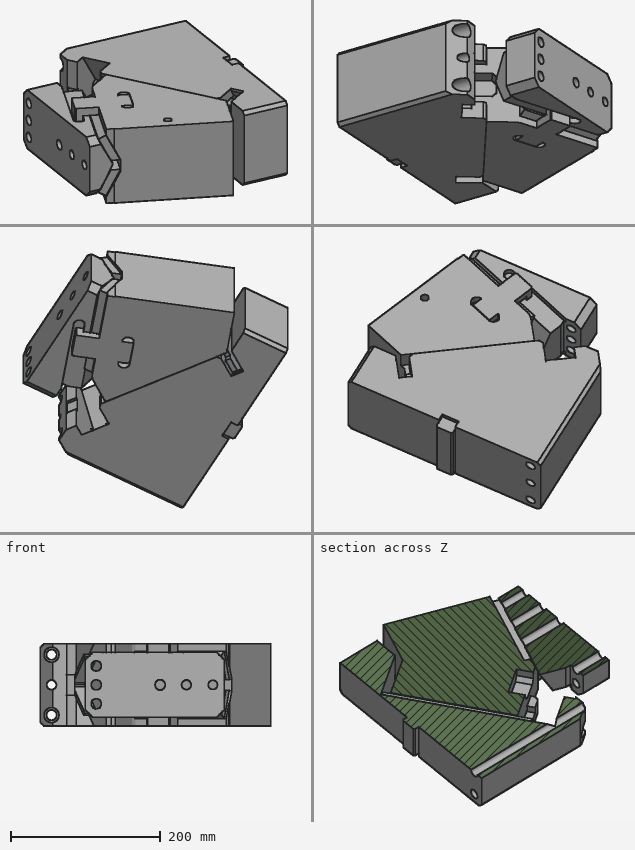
import cadquery as cq
import math


REACH = 461.7

total_height = 110.0
half_height = total_height / 2
running_gap = 0.3
overlap = 3.0

holder_length = 290.3
holder_chamfer = 5.0
left_side_depth = 173.3
right_side_depth = 65.5
lug_front = 197.0
lug_left = 16.5
guide_angle = 35.0
nose_tip = (94.5, -176.0)
nose_wall = -4.5
nose_chamfer = 4.5
lug_wall = -45.0
lug_end = -60.0
lug_land = 17.0
left_notch_floor = 33.2
guide_end = 175.5
right_notch_wall = 193.3
right_notch_floor = 36.0
guide_tilt = 38.0
wear_plate_half = 40.5
wear_plate_thickness = 4.0
wear_plate_gap = 5.5
wear_plate_overhang = 8.5
neck_half = 30.5
lip_depth = 19.7
lug_slot_width = 27.7
lug_slot_depth = 3.0

bolt_x = 15.0
bolt_z = 40.3
bolt_diameter = 13.5
bolt_head_diameter = 20.0
bolt_head_seat = 154.0
dowel_diameter = 12.5

key_left = 129.0
key_width = 24.5
key_rise = 8.0
key_depth = 10.2
key_half = 49.5
key_chamfer = 2.2

base_angle = 20.0
slider_right = 307.8
slider_bottom = -252.7
slider_top = 171.5
slider_end = 6.5
head_end = 182.0
tab_left = -102.5
tab_right = -69.5
tab_chamfer = 1.5
tab_reach = 32.0
relief_center = 38.8
relief_radius = 8.0
hook_root_gap = 0.5
roof_tilt = 27.5
slider_groove_half = 45.0
slider_plate_start = -130.2
slider_plate_end = -3.7
slider_plate_thickness = 11.7
slider_plate_inner = 7.0
groove_flat_top = 19.5
slider_corner_cut = 3.0
slider_step_depth = 1.0
slider_step_top = 10.5
lifting_hole = (-17.5, 85.5)
lifting_hole_diameter = 10.5
lifting_hole_depth = 18.5
drill_point_angle = 118.0
pocket_half = 17.2
pocket_low = -14.2
pocket_round = 12.3
pocket_corner = 6.2
pocket_depth = 23.0

base_half = 43.5
base_left = 60.0
base_right = 246.0
base_bottom = -276.0
base_step = -230.5
wedge_left = 86.2
wedge_end = -163.5
ridge = 10.0
base_chamfer = 10.2
groove_floor = 35.7
groove_bottom = -36.0
groove_top = -21.2
groove_end = -52.3
hook_lip_start = -86.2
base_column_x = 74.8
base_column_pitch = 25.2
base_column_diameter = 13.5
base_row = [(160.0, 13.5), (195.0, 12.5), (230.5, 12.3)]

guide_sin, guide_cos = math.sin(math.radians(guide_angle)), math.cos(math.radians(guide_angle))
roof_sin, roof_cos = math.sin(math.radians(base_angle)), math.cos(math.radians(base_angle))
guide_slope = math.tan(math.radians(guide_tilt))
roof_slope = math.tan(math.radians(roof_tilt))

slider_corner = (slider_right - slider_top * roof_sin, slider_bottom)


def guide_point(u, n):
    """X and Y of a point in the guide frame."""
    return (nose_tip[0] + u * guide_cos - n * guide_sin, nose_tip[1] + u * guide_sin + n * guide_cos)


def roof_point(s, m):
    """X and Y of a point in the roof frame."""
    return (slider_corner[0] + s * roof_cos + m * roof_sin, slider_corner[1] - s * roof_sin + m * roof_cos)


def plate(points, bottom, top):
    """Prism over an outline in X and Y."""
    return cq.Workplane("XY").workplane(offset=bottom).polyline(points).close().extrude(top - bottom)


def guide_prism(profile, start, end):
    """Prism along the guide, over a profile of (n, z) points."""
    plane = cq.Plane(
        origin=(*guide_point(start, 0), 0), xDir=(-guide_sin, guide_cos, 0), normal=(guide_cos, guide_sin, 0)
    )
    return cq.Workplane(plane).polyline(profile).close().extrude(end - start)


def roof_prism(profile, start, end):
    """Prism along the roof, over a profile of (m, z) points that is symmetric or mirrored in Z."""
    plane = cq.Plane(
        origin=(*roof_point(start, 0), 0), xDir=(roof_sin, roof_cos, 0), normal=(roof_cos, -roof_sin, 0)
    )
    return cq.Workplane(plane).polyline(profile).close().extrude(end - start)


def mirrored(half_profile):
    """Whole profile from its upper half, listed from one end to the other on Z = 0."""
    return half_profile + [(a, -z) for a, z in reversed(half_profile) if z != 0]


def box_at(x, y, z):
    """Box given by its limits along each axis."""
    size = [b - a for a, b in (x, y, z)]
    return cq.Workplane("XY").box(*size, centered=False).translate((x[0], y[0], z[0]))


def hole_along_y(x, z, diameter, start, end):
    """Cylinder along Y."""
    return cq.Workplane("XZ").workplane(offset=-start).center(x, z).circle(diameter / 2).extrude(start - end)


def v_floor(z):
    """n of the V-shaped notch floor at height z."""
    return left_notch_floor + (half_height - z) * guide_slope


def plate_face(z):
    """n of the wear plates' sliding faces at height z."""
    return v_floor(z) - wear_plate_thickness / math.cos(math.radians(guide_tilt))


def plated_floor():
    """Upper half of the V floor, with its wear plate, from the plate's outer edge to the middle."""
    plate_edge = wear_plate_half - wear_plate_thickness * math.sin(math.radians(guide_tilt))
    half_gap = wear_plate_gap / 2
    return [
        (v_floor(wear_plate_half), wear_plate_half),
        (plate_face(plate_edge), plate_edge),
        (plate_face(half_gap), half_gap),
        (v_floor(half_gap), half_gap),
        (v_floor(0), 0),
    ]


def holder_blank():
    outline = [
        (0, 0),
        (holder_length, 0),
        (holder_length, -right_side_depth),
        guide_point(right_notch_wall, 0),
        guide_point(right_notch_wall, right_notch_floor),
        guide_point(guide_end, right_notch_floor),
        guide_point(guide_end, nose_chamfer),
        guide_point(guide_end - nose_chamfer, 0),
        guide_point(0, 0),
        guide_point(nose_wall, nose_chamfer),
        guide_point(nose_wall, left_notch_floor),
        guide_point(lug_wall, left_notch_floor),
        guide_point(lug_wall, lug_land),
        guide_point(lug_end, lug_land),
        (lug_left, -lug_front),
        (0, -left_side_depth),
    ]
    blank = plate(outline, -half_height, half_height)
    return blank.edges("|Y and (<X or >X)").chamfer(holder_chamfer)


def notch_floor_cut():
    """V-shaped floor of the notches and the wear plates that stand on it."""
    bare = mirrored([(0, neck_half), (0, half_height), (v_floor(half_height), half_height), (v_floor(0), 0)])
    plate_start = nose_wall - wear_plate_overhang
    left = guide_prism(bare, lug_wall, plate_start)
    plated = mirrored([
        (0, half_height),
        (v_floor(half_height), half_height),
        *plated_floor(),
    ])
    right = guide_prism(plated, guide_end, right_notch_wall)
    return left.union(guide_prism(plated, plate_start, nose_wall)).union(right)


def guide_cut():
    """T-shaped guide with a V-shaped floor."""
    profile = mirrored([
        (-overlap, neck_half),
        (lip_depth, neck_half),
        (lip_depth, wear_plate_half),
        *plated_floor(),
    ])
    return guide_prism(profile, nose_wall, guide_end)


def make_holder():
    holder = holder_blank().cut(notch_floor_cut()).cut(guide_cut())
    half_slot = lug_slot_width / 2
    slot_floor = lug_land + lug_slot_depth
    slot = [(0, -half_slot), (0, half_slot), (slot_floor, half_slot), (slot_floor, -half_slot)]
    holder = holder.cut(guide_prism(slot, lug_end, lug_wall))
    for z in (-bolt_z, bolt_z):
        holder = holder.cut(hole_along_y(bolt_x, z, bolt_diameter, 0, -REACH))
        holder = holder.cut(hole_along_y(bolt_x, z, bolt_head_diameter, -bolt_head_seat, -REACH))
    holder = holder.cut(hole_along_y(bolt_x, 0, dowel_diameter, 0, -REACH))
    key_x = (key_left, key_left + key_width)
    holder = holder.cut(box_at(key_x, (-key_depth, 0), (-half_height, half_height)))
    key = box_at(key_x, (-key_depth, key_rise), (-key_half, key_half))
    return holder.union(key.faces(">Y").edges("|Z").chamfer(key_chamfer))


def contact_end():
    """u where the slider's contact face meets its top edge."""
    x, y = guide_point(0, -running_gap)
    height = (x - slider_corner[0]) * roof_sin + (y - slider_corner[1]) * roof_cos
    return (slider_top - height) / math.sin(math.radians(guide_angle + base_angle))


def left_end_foot():
    """n where the slider's left end meets its underside."""
    x, y = guide_point(slider_end, 0)
    height = (x - slider_corner[0]) * roof_sin + (y - slider_corner[1]) * roof_cos
    return -height / math.cos(math.radians(guide_angle + base_angle))


def slider_blank():
    foot_x, foot_y = guide_point(slider_end, left_end_foot())
    outline = [
        guide_point(slider_end, -running_gap),
        guide_point(contact_end(), -running_gap),
        roof_point(0, slider_top),
        roof_point(0, slider_step_top),
        roof_point(-slider_step_depth, slider_step_top),
        roof_point(-slider_step_depth, 0),
        (foot_x + slider_corner_cut * roof_cos, foot_y - slider_corner_cut * roof_sin),
        guide_point(slider_end, left_end_foot() + slider_corner_cut),
    ]
    return plate(outline, -half_height, half_height)


def slider_head():
    """T-shaped tongue that runs in the holder's guide."""
    neck = neck_half - running_gap
    head = wear_plate_half - wear_plate_thickness * math.sin(math.radians(guide_tilt)) - running_gap
    profile = mirrored([
        (-overlap, neck),
        (lip_depth + running_gap, neck),
        (lip_depth + running_gap, head),
        (plate_face(head) - running_gap, head),
        (plate_face(0) - running_gap, 0),
    ])
    toe_height = (contact_end() - head_end) * math.tan(math.radians(guide_angle + base_angle))
    toe = [
        guide_point(head_end, -running_gap),
        guide_point(contact_end(), -running_gap),
        guide_point(head_end, toe_height - running_gap),
    ]
    return guide_prism(profile, slider_end, head_end).union(plate(toe, -neck, neck))


def groove_m(z):
    """m of the flanks of the slider's groove at height z."""
    return (slider_groove_half - z) * roof_slope


def underside_groove():
    """Flat-topped V groove for the wear plates, and a narrow V that clears the ridge to its left."""
    flat_half = slider_groove_half - groove_flat_top / roof_slope
    wide = mirrored([(0, slider_groove_half), (groove_flat_top, flat_half)])
    clear_ridge = ridge + running_gap
    narrow = [(0, clear_ridge / roof_slope), (clear_ridge, 0), (0, -clear_ridge / roof_slope)]
    return (
        roof_prism(wide, slider_plate_start, overlap)
        .union(roof_prism(narrow, wedge_end, slider_plate_start))
    )


def underside_plate(side):
    """Wear plate on one flank of the groove."""
    tilt = math.radians(roof_tilt)
    drop = slider_plate_thickness * math.cos(tilt)
    low_z = slider_groove_half - slider_plate_thickness * math.sin(tilt)
    profile = [
        (0, slider_groove_half),
        (-drop, low_z),
        (-drop + (low_z - slider_plate_inner) * roof_slope, slider_plate_inner),
        (groove_m(slider_plate_inner), slider_plate_inner),
    ]
    return roof_prism([(m, side * z) for m, z in profile], slider_plate_start, slider_plate_end)


def roof_block(s, m, z):
    """Block given by its limits in the roof frame."""
    corners = [roof_point(a, b) for a, b in ((s[0], m[0]), (s[1], m[0]), (s[1], m[1]), (s[0], m[1]))]
    return plate(corners, min(z), max(z))


def tab_piece(m_high, z):
    """Part of the hook tab from its chamfered free end up to m_high."""
    outline = [
        roof_point(tab_left, m_high),
        roof_point(tab_left, -tab_reach + tab_chamfer),
        roof_point(tab_left + tab_chamfer, -tab_reach),
        roof_point(tab_right - tab_chamfer, -tab_reach),
        roof_point(tab_right, -tab_reach + tab_chamfer),
        roof_point(tab_right, m_high),
    ]
    return plate(outline, min(z), max(z))


def hook(side):
    """Hook tab that reaches over the base, with a lip in the base's groove."""
    tab = tab_piece(overlap, (side * base_half, side * half_height))
    return tab.union(tab_piece(groove_top - running_gap, (side * groove_floor, side * base_half)))


def hook_relief(side):
    """Rounded pocket around the hook's root, which fills it between the two round ends."""
    levels = (side * base_half, side * half_height)
    low, high = relief_center - relief_radius, relief_center + relief_radius
    relief = roof_block((tab_left, tab_right), (low, high), levels)
    for s in (tab_left, tab_right):
        end = cq.Workplane("XY").workplane(offset=min(levels)).center(*roof_point(s, relief_center))
        relief = relief.union(end.circle(relief_radius).extrude(max(levels) - min(levels)))
    return relief.cut(roof_block((tab_left, tab_right), (0, high - hook_root_gap), levels))


def spring_pocket():
    """Pocket in the left end, with one rounded side and two cut corners."""
    profile = mirrored([
        (pocket_round, pocket_half),
        (pocket_low + pocket_corner, pocket_half),
        (pocket_low, pocket_half - pocket_corner),
    ])
    round_x, round_y = guide_point(slider_end, pocket_round)
    along_guide = cq.Plane(
        origin=(round_x, round_y, 0), xDir=(-guide_sin, guide_cos, 0), normal=(guide_cos, guide_sin, 0)
    )
    rounded = cq.Workplane(along_guide).circle(pocket_half).extrude(pocket_depth)
    return guide_prism(profile, slider_end, slider_end + pocket_depth).union(rounded)


def lifting_hole_cut():
    """Blind hole in the top face with a drill point."""
    radius = lifting_hole_diameter / 2
    point = radius / math.tan(math.radians(drill_point_angle / 2))
    x, y = roof_point(*lifting_hole)
    floor = half_height - lifting_hole_depth
    cylinder = cq.Solid.makeCylinder(radius, lifting_hole_depth, cq.Vector(x, y, floor))
    cone = cq.Solid.makeCone(0, radius, point, cq.Vector(x, y, floor - point))
    return cylinder.fuse(cone)


def make_slider():
    slider = slider_blank().union(slider_head()).cut(underside_groove())
    for side in (1, -1):
        slider = slider.union(underside_plate(side)).union(hook(side)).cut(hook_relief(side))
    return slider.cut(cq.Workplane(lifting_hole_cut())).cut(spring_pocket())


def base_blank():
    ridge_s = (base_right - slider_corner[0] - ridge * roof_sin) / roof_cos
    end_x, end_y = roof_point(wedge_end, ridge)
    end_foot = end_y - (end_x - wedge_left) * roof_cos / roof_sin
    outline = [
        (base_left, base_bottom),
        (base_right, base_bottom),
        roof_point(ridge_s, ridge),
        (end_x, end_y),
        (wedge_left, end_foot),
        (wedge_left, base_step),
        (base_left, base_step),
    ]
    blank = plate(outline, -base_half, base_half)
    return blank.edges("|Y and (<X or >X)").chamfer(base_chamfer)


def roof_cut(side):
    """Everything above one flank of the roof."""
    profile = [(ridge, 0), (ridge - REACH * roof_slope, REACH), (ridge, REACH)]
    return roof_prism([(m, side * z) for m, z in profile], -REACH, REACH)


def hook_groove(side):
    """Groove for a hook: open to the left and upward, then under a lip up to its rounded end."""
    levels = (side * groove_floor, side * base_half)
    radius = (groove_top - groove_bottom) / 2
    center_s = groove_end - radius
    straight = roof_block((wedge_end, center_s), (groove_bottom, groove_top), levels)
    end = (
        cq.Workplane("XY").workplane(offset=min(levels))
        .center(*roof_point(center_s, groove_top - radius)).circle(radius).extrude(max(levels) - min(levels))
    )
    opening = roof_block((wedge_end, hook_lip_start), (groove_bottom, ridge), levels)
    return straight.union(end).union(opening)


def make_base():
    base = base_blank()
    for side in (1, -1):
        base = base.cut(roof_cut(side)).cut(hook_groove(side))
    holes = [(x, 0, d) for x, d in base_row]
    holes += [(base_column_x, i * base_column_pitch, base_column_diameter) for i in (-1, 0, 1)]
    for x, z, diameter in holes:
        base = base.cut(hole_along_y(x, z, diameter, 0, -REACH))
    return base


holder = make_holder()
slider = make_slider()
base = make_base()

result = cq.Compound.makeCompound([holder.val(), slider.val(), base.val()])